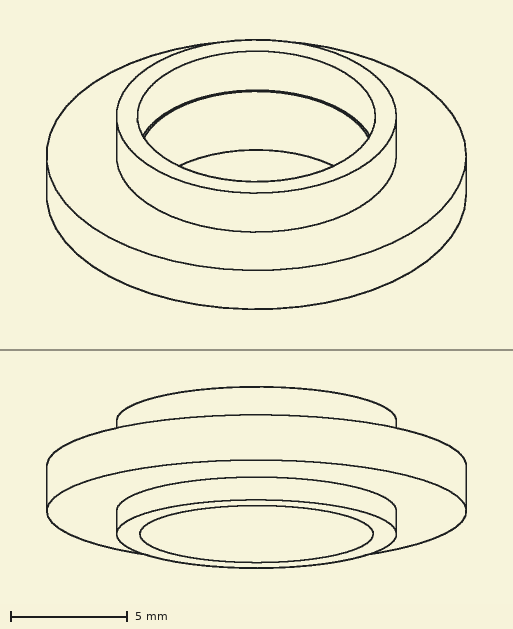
import cadquery as cq

flange_diameter = 18.0
hub_diameter = 12.0
bore_diameter = 10.0
recess_diameter = 10.2
lower_hub_height = 1.0
flange_thickness = 2.0
upper_hub_height = 2.0

flange_top = lower_hub_height + flange_thickness
total_height = flange_top + upper_hub_height


def cylinder(diameter, bottom, height):
    """Solid cylinder on the Z axis."""
    return cq.Workplane("XY").workplane(offset=bottom).circle(diameter / 2).extrude(height)


hub = cylinder(hub_diameter, 0, total_height)
flange = cylinder(flange_diameter, lower_hub_height, flange_thickness)

bore = cylinder(bore_diameter, 0, total_height)
upper_recess = cylinder(recess_diameter, flange_top, upper_hub_height)

result = hub.union(flange).cut(bore).cut(upper_recess)